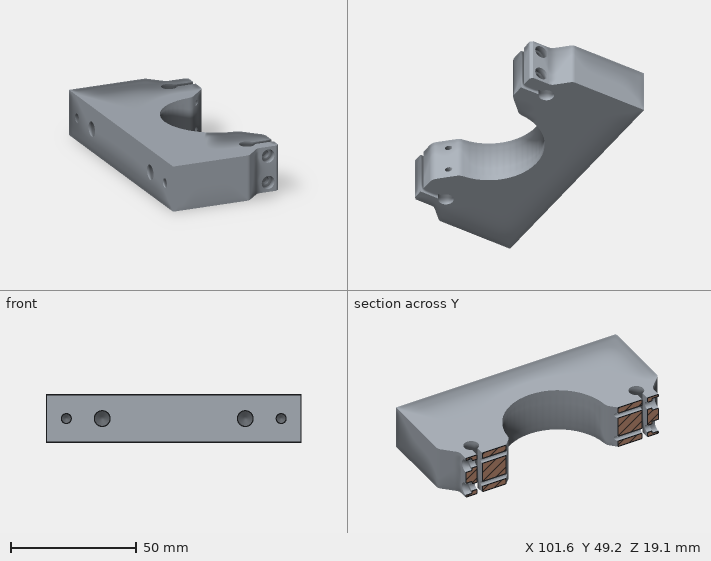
import cadquery as cq
import math

length = 101.6
depth = 49.2
height = 19.1
half_length = length / 2
back = depth / 2
front = -depth / 2

saddle_radius = 22.4
saddle_center_y = back - 7.7
saddle_lead_in_offset = 30.5
lead_in_fillet = 4.1

tab_half_span = 44.5
tab_height = 9.5
tab_chamfer = 1.0
tab_root_fillet = 2.9
shoulder_fillet = 2.2

rod_x = 38.1
rod_y = back - 11.2
rod_diameter = 6.3
slot_width = 2.3

screw_y = back - 4.8
screw_spacing = 11.2
screw_tap_diameter = 2.1
screw_clearance_diameter = 3.3
screw_head_diameter = 5.6
screw_head_depth = 2.8

front_holes = [(42.9, 4.0, 12.2), (28.5, 6.3, 12.2)]
drill_point_angle = 118.0


def vertical_edge(x, y):
    """Select the two mirrored vertical edges at +-x and y."""
    size = 0.1
    return cq.selectors.BoxSelector(
        (x - size, y - size, -height), (x + size, y + size, height)
    ) + cq.selectors.BoxSelector(
        (-x - size, y - size, -height), (-x + size, y + size, height)
    )


def make_body():
    tab_root_y = back - tab_height
    shoulder_y = tab_root_y - (half_length - tab_half_span)

    rise = back - saddle_center_y
    total = saddle_lead_in_offset + rise
    gap = saddle_lead_in_offset - rise
    lip_run = (total - math.sqrt(2 * saddle_radius**2 - gap**2)) / 2
    lip_x = saddle_lead_in_offset - lip_run
    lip_y = back - lip_run

    body = (
        cq.Workplane("XY")
        .workplane(offset=-height / 2)
        .moveTo(-half_length, front)
        .lineTo(half_length, front)
        .lineTo(half_length, shoulder_y)
        .lineTo(tab_half_span, tab_root_y)
        .lineTo(tab_half_span, back)
        .lineTo(saddle_lead_in_offset, back)
        .lineTo(lip_x, lip_y)
        .threePointArc((0, saddle_center_y - saddle_radius), (-lip_x, lip_y))
        .lineTo(-saddle_lead_in_offset, back)
        .lineTo(-tab_half_span, back)
        .lineTo(-tab_half_span, tab_root_y)
        .lineTo(-half_length, shoulder_y)
        .close()
        .extrude(height)
    )
    body = body.edges(vertical_edge(half_length, shoulder_y)).fillet(shoulder_fillet)
    body = body.edges(vertical_edge(tab_half_span, tab_root_y)).fillet(tab_root_fillet)
    body = body.edges(vertical_edge(saddle_lead_in_offset, back)).fillet(lead_in_fillet)
    body = body.edges(vertical_edge(lip_x, lip_y)).fillet(lead_in_fillet)
    return body.edges(vertical_edge(tab_half_span, back)).chamfer(tab_chamfer)


def rod_clamp_cut(side):
    """Rod hole and its slot; side is -1 or 1."""
    slot_length = back - rod_y
    hole = (
        cq.Workplane("XY")
        .center(side * rod_x, rod_y)
        .circle(rod_diameter / 2)
        .extrude(height, both=True)
    )
    slot = cq.Workplane("XY").box(slot_width, slot_length, height).translate(
        (side * rod_x, rod_y + slot_length / 2, 0)
    )
    return hole.union(slot)


def screw_cut(side, z):
    """Counterbored clearance hole in the tab, tap hole on through to the saddle."""

    def bore(diameter, outer_x, inner_x):
        start = cq.Vector(side * outer_x, screw_y, z)
        direction = cq.Vector(-side, 0, 0)
        return cq.Workplane(cq.Solid.makeCylinder(diameter / 2, outer_x - inner_x, start, direction))

    head = bore(screw_head_diameter, tab_half_span, tab_half_span - screw_head_depth)
    clearance = bore(screw_clearance_diameter, tab_half_span, rod_x)
    tap = bore(screw_tap_diameter, tab_half_span, 0)
    return head.union(clearance).union(tap)


def front_hole_cut(x, diameter, straight_depth):
    """Blind drilled hole with a conical bottom, along +Y from the front face."""
    radius = diameter / 2
    point_length = radius / math.tan(math.radians(drill_point_angle / 2))
    return (
        cq.Workplane("XY")
        .moveTo(0, 0)
        .lineTo(radius, 0)
        .lineTo(radius, straight_depth)
        .lineTo(0, straight_depth + point_length)
        .close()
        .revolve(360, (0, 0), (0, 1))
        .translate((x, front, 0))
    )


result = make_body()
for side in (-1, 1):
    result = result.cut(rod_clamp_cut(side))
    for z in (-screw_spacing / 2, screw_spacing / 2):
        result = result.cut(screw_cut(side, z))
    for x, diameter, straight_depth in front_holes:
        result = result.cut(front_hole_cut(side * x, diameter, straight_depth))